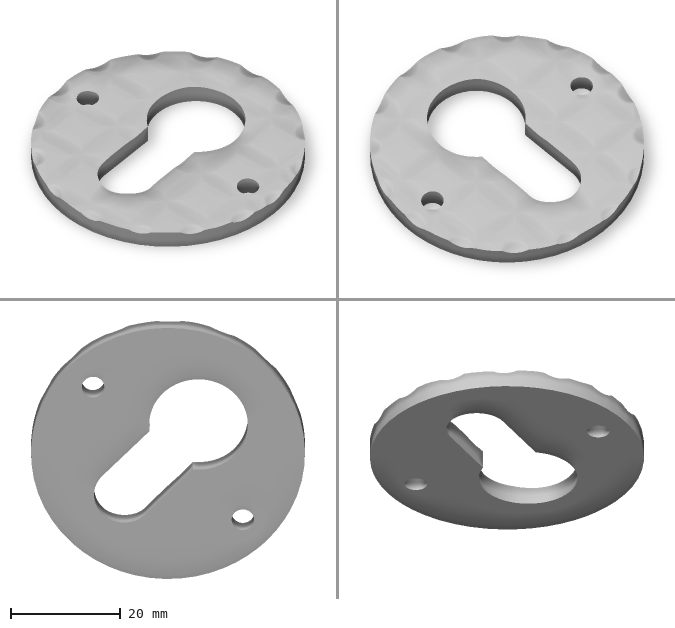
import cadquery as cq
import math

PLATE_RADIUS = 25.0
THICKNESS = 3.5
STOCK_MARGIN = 2.5
REACH = PLATE_RADIUS + STOCK_MARGIN

KEY_RADIUS = 9.0
KEY_TOP = 17.0
SLOT_WIDTH = 11.0
SLOT_BOTTOM = -17.0
SCREW_DIAMETER = 4.1
SCREW_OFFSET = 19.0

PITCH = 10.0
MOUND_X = 5.0
MOUND_Y = 2.5
CELLS_EACH_WAY = 3
GROOVE_DEPTH = 0.24
GROOVE_RADIUS = 11.0

FLAT_HALF = 1.75
SHOULDER_HALF = 3.25

SHARP_TOWARD_LEFT = [(-5.0, 22.5)]
SHARP_TOWARD_RIGHT = [(5.0, 22.5)]
SHARP_TOWARD_BACK = [
    (-25.0, 2.5),
    (-25.0, -7.5),
    (-5.0, 22.5),
    (-5.0, -27.5),
    (5.0, 22.5),
    (5.0, -7.5),
    (25.0, 2.5),
]

DIMPLE_COUNT = 16
DIMPLE_RING_X = 0.15
DIMPLE_START = 1.0
DIMPLE_STEP = 22.8
DIMPLE_CENTER = 25.4
DIMPLE_SPHERE = 5.0
DIMPLE_RADIUS = 2.6
DIMPLE_LIP = 0.75
RIM_TOLERANCE = 0.0005


def groove_z(distance):
    """Height of a groove's wall at a distance from its centre line."""
    rise = GROOVE_RADIUS - math.sqrt(GROOVE_RADIUS**2 - distance**2)
    return THICKNESS - GROOVE_DEPTH + rise


def groove_arc(outline, center, start, end):
    """Continue an outline along a groove's wall between two offsets from the groove's centre."""
    middle = (start + end) / 2
    return outline.threePointArc((center + middle, groove_z(middle)), (center + end, groove_z(end)))


def ridged_stock(plane, mound_center, seamed):
    """Bevelled ridges of constant section, one per pitch; seamed grooves have two faces."""
    shoulder = PITCH / 2 - SHOULDER_HALF
    first = mound_center - CELLS_EACH_WAY * PITCH
    count = 2 * CELLS_EACH_WAY
    last = first + count * PITCH
    outline = cq.Workplane(plane).moveTo(first, 0).lineTo(first, THICKNESS)
    for i in range(count):
        center = first + i * PITCH
        groove = center + PITCH / 2
        outline = outline.lineTo(center + FLAT_HALF, THICKNESS)
        outline = outline.lineTo(center + SHOULDER_HALF, groove_z(shoulder))
        if seamed:
            outline = groove_arc(outline, groove, -shoulder, 0)
            outline = groove_arc(outline, groove, 0, shoulder)
        else:
            outline = groove_arc(outline, groove, -shoulder, shoulder)
        outline = outline.lineTo(center + PITCH - FLAT_HALF, THICKNESS)
    outline = outline.lineTo(last, THICKNESS).lineTo(last, 0).close()
    return outline.extrude(REACH, both=True, clean=False)


def sharp_side(x, y, turn):
    """Replacement for one mound side: flat top running straight out to the groove, without a bevel."""
    groove = PITCH / 2
    rim = math.sqrt(GROOVE_RADIUS**2 - (GROOVE_RADIUS - GROOVE_DEPTH) ** 2)
    outline = cq.Workplane("XZ").moveTo(-FLAT_HALF, 0).lineTo(-FLAT_HALF, THICKNESS)
    outline = outline.lineTo(groove - rim, THICKNESS)
    outline = groove_arc(outline, groove, -rim, 0).lineTo(groove, 0).close()
    block = outline.extrude(PITCH / 2, both=True)
    return block.rotate((0, 0, 0), (0, 0, 1), turn).translate((x, y, 0))


def with_sharp_side(ridges, x, y, turn):
    """Swap one side of a mound, from its inner flat edge to the groove, for the sharp kind."""
    length = FLAT_HALF + PITCH / 2
    room = cq.Workplane("XY").box(length, PITCH, THICKNESS, centered=(False, True, False))
    room = room.translate((-FLAT_HALF, 0, 0)).rotate((0, 0, 0), (0, 0, 1), turn).translate((x, y, 0))
    return ridges.cut(room, clean=False).union(sharp_side(x, y, turn), clean=False)


def relief():
    """Mounds where the ridges along both axes meet; a seam runs along each groove between rows."""
    columns = ridged_stock("XZ", MOUND_X, False)
    rows = ridged_stock("YZ", MOUND_Y, True)
    for x, y in SHARP_TOWARD_LEFT:
        columns = with_sharp_side(columns, x, y, 180)
    for x, y in SHARP_TOWARD_RIGHT:
        columns = with_sharp_side(columns, x, y, 0)
    for x, y in SHARP_TOWARD_BACK:
        rows = with_sharp_side(rows, x, y, 90)
    return columns.clean().intersect(rows, clean=False)


def keyhole():
    slot_radius = SLOT_WIDTH / 2
    slot_end = SLOT_BOTTOM + slot_radius
    key_center = KEY_TOP - KEY_RADIUS
    head = cq.Workplane("XY").center(0, key_center).circle(KEY_RADIUS).extrude(THICKNESS)
    slot = (
        cq.Workplane("XY")
        .moveTo(-slot_radius, key_center)
        .lineTo(-slot_radius, slot_end)
        .threePointArc((0, SLOT_BOTTOM), (slot_radius, slot_end))
        .lineTo(slot_radius, key_center)
        .close()
        .extrude(THICKNESS)
    )
    return head.union(slot)


def screw_holes():
    centers = [(-SCREW_OFFSET, 0), (SCREW_OFFSET, 0)]
    return cq.Workplane("XY").pushPoints(centers).circle(SCREW_DIAMETER / 2).extrude(THICKNESS)


def on_rim(edge):
    """Whether an edge lies on the plate's outer wall."""
    middle = edge.positionAt(0.5)
    return abs(math.hypot(middle.x, middle.y) - PLATE_RADIUS) < RIM_TOLERANCE


def with_dimple(plate, angle):
    """Cut one dimple and round its lip, leaving its edge on the rim sharp."""
    sphere_z = THICKNESS + math.sqrt(DIMPLE_SPHERE**2 - DIMPLE_RADIUS**2)
    turn = math.radians(angle)
    center_x = DIMPLE_RING_X + DIMPLE_CENTER * math.cos(turn)
    center_y = DIMPLE_CENTER * math.sin(turn)
    sphere = cq.Workplane("XY").sphere(DIMPLE_SPHERE).rotate((0, 0, 0), (0, 0, 1), angle)
    plate = plate.cut(sphere.translate((center_x, center_y, sphere_z)), clean=False)
    mouth = (center_x, center_y, THICKNESS)
    bowl = plate.faces("%SPHERE").faces(cq.NearestToPointSelector(mouth))
    lip = [edge for edge in bowl.edges().vals() if not on_rim(edge)]
    return cq.Workplane(plate.val().fillet(DIMPLE_LIP, lip))


disc = cq.Workplane("XY").circle(PLATE_RADIUS).extrude(THICKNESS)
result = disc.intersect(relief(), clean=False)
result = result.cut(keyhole(), clean=False).cut(screw_holes(), clean=False)
for i in range(DIMPLE_COUNT):
    result = with_dimple(result, DIMPLE_START + i * DIMPLE_STEP)